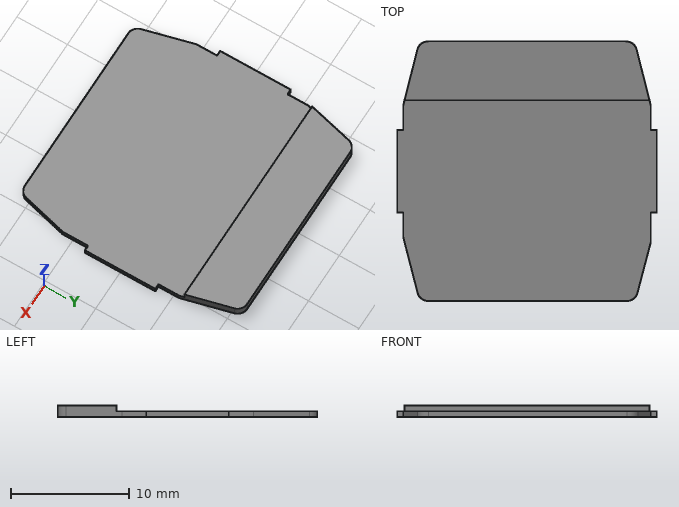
import cadquery as cq

length = 22.0
width = 22.0
height = 1.0

body_half_width = 10.5
straight_half_length = 5.55
end_half_width = 9.1
corner_radius = 0.95

front_left_end = 9.09
front_right_end = 9.17
front_right_straight = 5.98

tab_length = 7.0
band_length = 5.0
plate_thickness = height / 2


def tapered_body(thickness):
    """Plate with straight sides that taper towards both ends, with rounded corners."""
    half_length = length / 2
    outline = [
        (-front_left_end, -half_length),
        (front_right_end, -half_length),
        (body_half_width, -front_right_straight),
        (body_half_width, straight_half_length),
        (end_half_width, half_length),
        (-end_half_width, half_length),
        (-body_half_width, straight_half_length),
        (-body_half_width, -straight_half_length),
    ]
    body = cq.Workplane("XY").polyline(outline).close().extrude(thickness)
    end_corners = body.faces("<Y or >Y").edges("|Z")
    return end_corners.fillet(corner_radius)


plate = tapered_body(plate_thickness)
tabs = cq.Workplane("XY").box(width, tab_length, plate_thickness, centered=(True, True, False))

band_space = (
    cq.Workplane("XY")
    .center(0, (length - band_length) / 2)
    .box(width, band_length, height, centered=(True, True, False))
)
band = tapered_body(height).intersect(band_space)

result = plate.union(tabs).union(band)